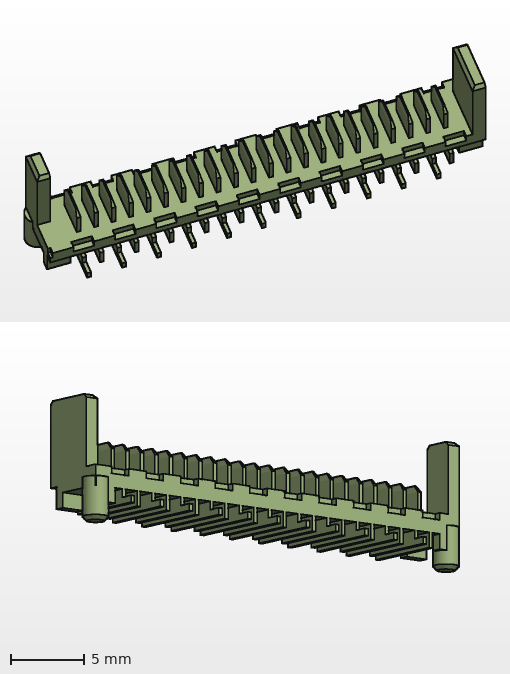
import cadquery as cq


length = 31.68
half_length = length / 2
half_width = 2.5
bar_bottom = 1.07
bar_top = 2.52
rebate_width = 0.65
rebate_top = 1.55

wall_thickness = 0.97
wall_top = 7.6
front_wall_length = 2.33
back_wall_length = 3.98
wall_bevel = 0.25

pocket_count = 11
pocket_pitch = 3.0
pocket_length = 1.5
pocket_depth = 0.5
first_pocket_y = 13.68

overall_length = 32.33
peg_diameter = 1.8
peg_x = -1.75
peg_y = overall_length / 2 - peg_diameter / 2
peg_top = 1.75
peg_bottom = -1.25
peg_chamfer = 0.3

foot_inner_y = 14.13
foot_width = 0.7

contact_count = 22
contact_span = 26.7
contact_pitch = contact_span / (contact_count - 1)
contact_thickness = 0.3
blade_left = -1.23
blade_right = 1.33
blade_top = 4.55
blade_taper_height = 0.5
blade_taper_run = 0.5
tip_thickness = 0.1
lead_span = 6.9
lead_thickness = 0.5


def block(x_range, y_range, z_range):
    """Axis-aligned box between the given limits."""
    size = [limits[1] - limits[0] for limits in (x_range, y_range, z_range)]
    corner = (x_range[0], y_range[0], z_range[0])
    return cq.Workplane("XY").box(*size, centered=False).translate(corner)


def frustum(lower, upper, z_bottom, z_top):
    """Straight loft between two rectangles given as (x0, x1, y0, y1)."""

    def section(bounds, z):
        x0, x1, y0, y1 = bounds
        corners = [(x0, y0, z), (x1, y0, z), (x1, y1, z), (x0, y1, z)]
        return cq.Wire.makePolygon([cq.Vector(*corner) for corner in corners], close=True)

    wires = [section(lower, z_bottom), section(upper, z_top)]
    return cq.Workplane(obj=cq.Solid.makeLoft(wires, True))


def make_bar():
    bar = block((-half_width, half_width), (-half_length, half_length), (bar_bottom, bar_top))
    rebate = block(
        (half_width - rebate_width, half_width),
        (-half_length, half_length),
        (bar_bottom, rebate_top),
    )
    bar = bar.cut(rebate)
    for index in range(pocket_count):
        y = first_pocket_y - index * pocket_pitch
        for x in (-half_width, half_width):
            pocket = block(
                (x - pocket_depth, x + pocket_depth),
                (y - pocket_length / 2, y + pocket_length / 2),
                (bar_top - pocket_depth, bar_top + pocket_depth),
            )
            bar = bar.cut(pocket)
    return bar


def make_wall(x0, x1, y0):
    """Upright wall with its top edges bevelled, except the edge on its +Y side."""
    y1 = y0 + wall_thickness
    shoulder = wall_top - wall_bevel
    wall = block((x0, x1), (y0, y1), (rebate_top, shoulder))
    upper = (x0 + wall_bevel, x1 - wall_bevel, y0 + wall_bevel, y1)
    return wall.union(frustum((x0, x1, y0, y1), upper, shoulder, wall_top))


def make_peg(y):
    return (
        cq.Workplane("XY", origin=(peg_x, y, peg_bottom))
        .circle(peg_diameter / 2)
        .extrude(peg_top - peg_bottom)
        .faces("<Z")
        .chamfer(peg_chamfer)
    )


def make_feet(end):
    """Standoff feet at one end of the bar; end is -1 for -Y and +1 for +Y."""
    right_edge = half_width - rebate_width
    inner = end * foot_inner_y
    left_y = sorted((inner, end * peg_y))
    right_y = sorted((inner, end * half_length))
    left = block((-half_width, peg_x), left_y, (0, bar_bottom))
    right = block((right_edge - foot_width, right_edge), right_y, (0, bar_bottom))
    return left.union(right)


def make_contact(y, side):
    """Contact with its soldered lead foot leaving on the -X (side = -1) or +X (side = +1) side."""
    y0 = y - contact_thickness / 2
    y1 = y + contact_thickness / 2
    shoulder = blade_top - blade_taper_height
    blade = block((blade_left, blade_right), (y0, y1), (bar_bottom, shoulder))
    tip = frustum(
        (blade_left, blade_right, y0, y1),
        (
            blade_left + blade_taper_run,
            blade_right - blade_taper_run,
            y - tip_thickness / 2,
            y + tip_thickness / 2,
        ),
        shoulder,
        blade_top,
    )
    web = block((-half_width, half_width), (y0, y1), (0, bar_bottom))
    lead_x = sorted((0, side * lead_span / 2))
    lead = block(lead_x, (y0, y1), (0, lead_thickness))
    return blade.union(tip).union(web).union(lead)


connector = make_bar()
connector = connector.union(make_wall(-half_width, front_wall_length - half_width, -half_length))
back_wall_left = half_width - back_wall_length
connector = connector.union(make_wall(back_wall_left, half_width, half_length - wall_thickness))
for end in (-1, 1):
    connector = connector.union(make_feet(end))
    connector = connector.union(make_peg(end * peg_y))

for index in range(contact_count):
    contact_y = contact_span / 2 - index * contact_pitch
    lead_side = -1 if index % 2 == 0 else 1
    connector = connector.union(make_contact(contact_y, lead_side))

result = connector